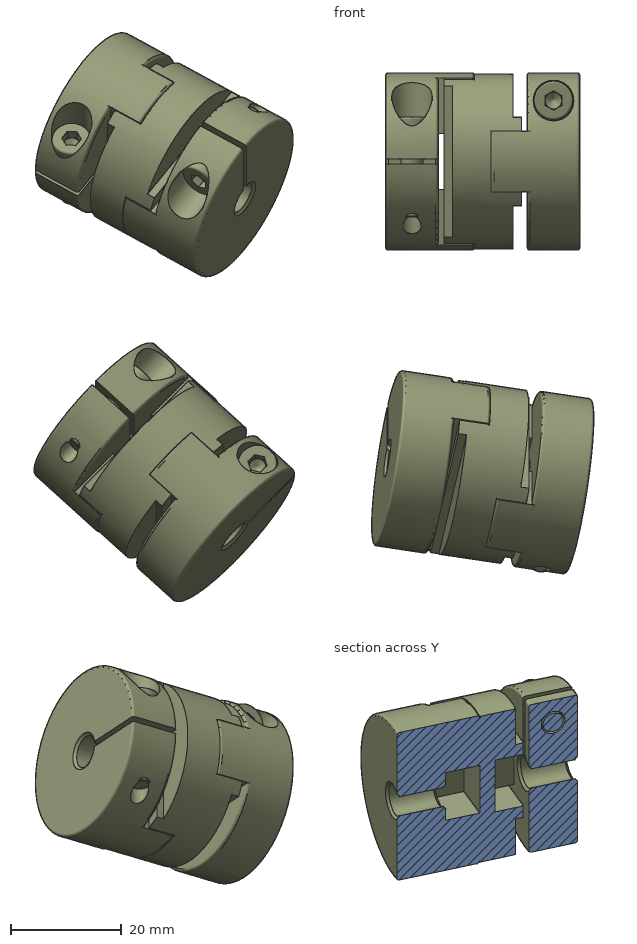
import cadquery as cq
import math

length = 35.0
hub_diameter = 32.0
hub_width = 9.5
edge_round = 0.5

lug_width = 10.95
lug_end = 16.0
lug_inner_offset = 5.05

bore_diameter = 6.0
bore_chamfer = 0.5
slit_width = 0.98

screw_offset = 11.0
screw_diameter = 4.0
screw_length = 14.0
screw_tip_chamfer = 0.2
head_diameter = 7.0
head_height = 4.0
head_round = 0.4
head_seat = 4.0
counterbore_diameter = 7.3
clearance_diameter = 4.5
tap_drill_diameter = 3.3
hex_width = 3.0
hex_depth = 2.0
hex_cone_depth = 0.88

disc_diameter = 31.6
disc_start = 12.0
rail_start = 10.5
rail_span = 16.0

hub_radius = hub_diameter / 2
screw_x = hub_width / 2
screw_tip = head_seat - screw_length
head_top = head_seat + head_height


def x_cylinder(diameter, start, end):
    """Cylinder on the X axis between two X positions."""
    return cq.Workplane("YZ", origin=(start, 0, 0)).circle(diameter / 2).extrude(end - start)


def screw_cylinder(diameter, bottom, top):
    """Cylinder on the clamp screw axis, which is parallel to Z."""
    base = cq.Workplane("XY", origin=(screw_x, -screw_offset, bottom))
    return base.circle(diameter / 2).extrude(top - bottom)


def rounded_barrel(end):
    """Hub-sized cylinder from X = 0 with both rims rounded."""
    return x_cylinder(hub_diameter, 0, end).edges().fillet(edge_round)


def make_lugs():
    """Two lugs, opposite each other along Z, reaching towards the centre disc."""
    root = hub_width - 2 * edge_round
    bar = cq.Workplane("XY", origin=(root, 0, 0)).box(
        lug_end - root, lug_width, hub_diameter, centered=(False, True, True)
    )
    gap = cq.Workplane("XY", origin=(root, 0, 0)).box(
        lug_end - root, lug_width, 2 * lug_inner_offset, centered=(False, True, True)
    )
    bar = bar.cut(gap)
    return bar.intersect(rounded_barrel(lug_end))


def make_screw():
    """Socket head clamp screw with its head towards +Z."""
    shank = screw_cylinder(screw_diameter, screw_tip, head_seat).faces("<Z").chamfer(screw_tip_chamfer)
    head = screw_cylinder(head_diameter, head_seat, head_top).faces(">Z").edges().fillet(head_round)
    hex_diameter = hex_width / math.cos(math.pi / 6)
    socket_floor = head_top - hex_depth
    socket = (
        cq.Workplane("XY", origin=(screw_x, -screw_offset, socket_floor))
        .transformed(rotate=(0, 0, 90))
        .polygon(6, hex_diameter)
        .extrude(hex_depth)
    )
    cone = cq.Solid.makeCone(
        hex_width / 2, 0, hex_cone_depth, cq.Vector(screw_x, -screw_offset, socket_floor), cq.Vector(0, 0, -1)
    )
    return shank.union(head).cut(socket).cut(cq.Workplane(cone))


def make_hub():
    """Clamping hub at X = 0, slit on the -Y side, with its screw in place."""
    hub = rounded_barrel(hub_width).union(make_lugs())

    hub = hub.cut(x_cylinder(bore_diameter, 0, hub_width))
    for mouth_x, inward in ((0, 1), (hub_width, -1)):
        mouth = cq.Solid.makeCone(
            bore_diameter / 2 + bore_chamfer,
            bore_diameter / 2,
            bore_chamfer,
            cq.Vector(mouth_x, 0, 0),
            cq.Vector(inward, 0, 0),
        )
        hub = hub.cut(cq.Workplane(mouth))

    slit = cq.Workplane("XY").box(hub_width, hub_radius, slit_width, centered=(False, True, True))
    hub = hub.cut(slit.translate((0, -hub_radius / 2, 0)))

    hub = hub.cut(screw_cylinder(counterbore_diameter, head_seat, hub_radius))
    hub = hub.cut(screw_cylinder(clearance_diameter, 0, head_seat))
    hub = hub.cut(screw_cylinder(tap_drill_diameter, -hub_radius, 0))
    return hub.union(make_screw())


def make_disc():
    """Centre disc with a railed slot along Z on one face and along Y on the other."""
    disc = x_cylinder(disc_diameter, rail_start, length - rail_start)
    rail_height = disc_start - rail_start
    slot_depth = lug_end - rail_start
    for direction, turn in ((1, 0), (-1, 90)):
        face_x = rail_start if direction == 1 else length - rail_start
        keep = cq.Workplane("XY").box(rail_height, rail_span, hub_diameter)
        trim = cq.Workplane("XY").box(rail_height, hub_diameter, hub_diameter).cut(keep)
        slot = cq.Workplane("XY").box(slot_depth, lug_width, hub_diameter)
        for tool, depth in ((trim, rail_height), (slot, slot_depth)):
            turned = tool.rotate((0, 0, 0), (1, 0, 0), turn)
            disc = disc.cut(turned.translate((face_x + direction * depth / 2, 0, 0)))
    return disc


near_hub = make_hub()
far_hub = near_hub.rotate((length / 2, 0, 0), (length / 2, -0.35, 0.35), 180)

result = make_disc().union(near_hub).union(far_hub)